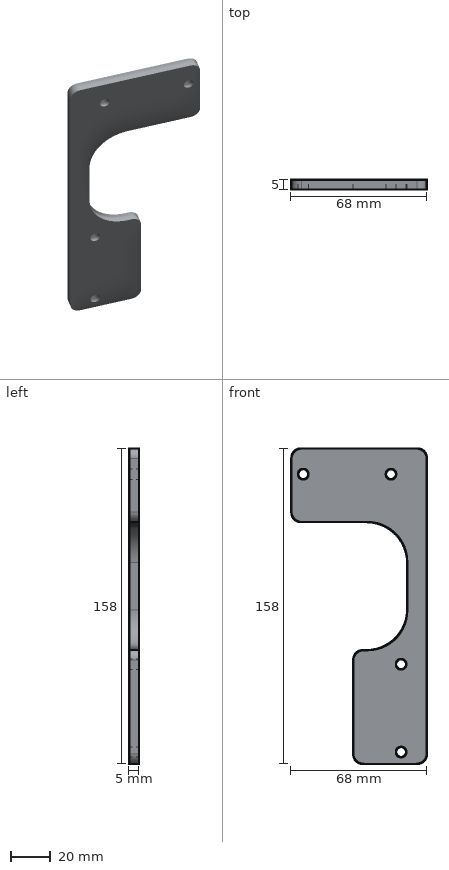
import cadquery as cq

height = 158.0
width = 68.0
thickness = 5.0

arm_breadth = 37.0
lower_arm_height = 57.0
strip_width = 10.0
corner_radius = 5.0
recess_radius = 20.0

hole_diameter = 5.0
hole_end_margin = 6.0
hole_side_margin = 13.0
hole_spacing = 44.0

right = width / 2
left = -right
top = height / 2
bottom = -top
upper_arm_underside = top - arm_breadth
lower_arm_top = bottom + lower_arm_height
lower_arm_left = right - arm_breadth
recess_wall = right - strip_width


def make_plate():
    """Extrude the outline with rounded corners, centred on the XZ plane."""
    outer_corners = [
        (left, upper_arm_underside),
        (left, top),
        (right, top),
        (right, bottom),
        (lower_arm_left, bottom),
        (lower_arm_left, lower_arm_top),
    ]
    recess_corners = [
        (recess_wall, lower_arm_top),
        (recess_wall, upper_arm_underside),
    ]
    outline = outer_corners + recess_corners
    plate = cq.Workplane("XZ").polyline(outline).close().extrude(thickness / 2, both=True)
    plate = round_corners(plate, recess_corners, recess_radius)
    return round_corners(plate, outer_corners, corner_radius)


def round_corners(plate, corners, radius):
    """Round the through-thickness edges at the given (x, z) corners."""
    for x, z in corners:
        plate = plate.edges("|Y").edges(cq.NearestToPointSelector((x, 0, z))).fillet(radius)
    return plate


def drill_holes(plate):
    """Drill the pair across the upper arm and the pair up the lower arm."""
    upper_x = left + hole_end_margin
    upper_z = top - hole_side_margin
    lower_x = right - hole_side_margin
    lower_z = bottom + hole_end_margin
    centres = [
        (upper_x, upper_z),
        (upper_x + hole_spacing, upper_z),
        (lower_x, lower_z),
        (lower_x, lower_z + hole_spacing),
    ]
    drills = (
        cq.Workplane("XZ")
        .pushPoints(centres)
        .circle(hole_diameter / 2)
        .extrude(thickness, both=True)
    )
    return plate.cut(drills)


result = drill_holes(make_plate())